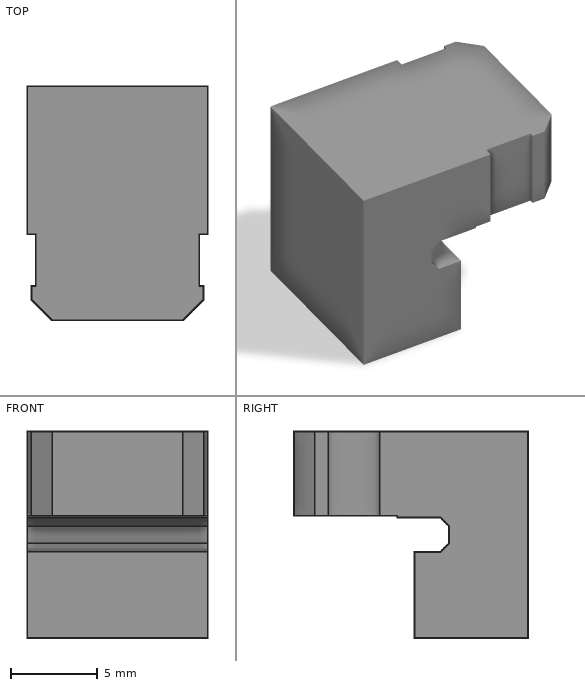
import cadquery as cq

body_width = 10.5
total_depth = 13.6
total_height = 12.0

body_depth = 8.6
leg_depth = 6.6
slot_depth = 4.6
underside_step_depth = 7.6

leg_height = 5.0
slot_height = 2.0
slot_chamfer = 0.5
underside_relief = 0.1

neck_width = 9.5
neck_length = 3.0
head_width = 10.0
head_chamfer = 1.2


def side_profile_block():
    """Full-width block with the slotted side profile, drawn in the YZ plane."""
    slot_top = leg_height + slot_height
    profile = [
        (0, 0),
        (-leg_depth, 0),
        (-leg_depth, leg_height),
        (-slot_depth - slot_chamfer, leg_height),
        (-slot_depth, leg_height + slot_chamfer),
        (-slot_depth, slot_top - slot_chamfer),
        (-slot_depth - slot_chamfer, slot_top),
        (-underside_step_depth, slot_top),
        (-underside_step_depth, slot_top + underside_relief),
        (-total_depth, slot_top + underside_relief),
        (-total_depth, total_height),
        (0, total_height),
    ]
    block = cq.Workplane("YZ").polyline(profile).close()
    return block.extrude(body_width / 2, both=True)


def plate(width, back, front):
    """Full-height block centred on X between two depths from the back face."""
    block = cq.Workplane("XY").box(width, front - back, total_height, centered=(True, False, False))
    return block.translate((0, -front, 0))


def plan_outline_block():
    """Full-height block with the body, neck and head plan outline."""
    neck_end = body_depth + neck_length
    body = plate(body_width, 0, body_depth)
    neck = plate(neck_width, body_depth, neck_end)
    head = plate(head_width, neck_end, total_depth)
    head = head.faces("<Y").edges("|Z").chamfer(head_chamfer)
    return body.union(neck).union(head)


result = side_profile_block().intersect(plan_outline_block())